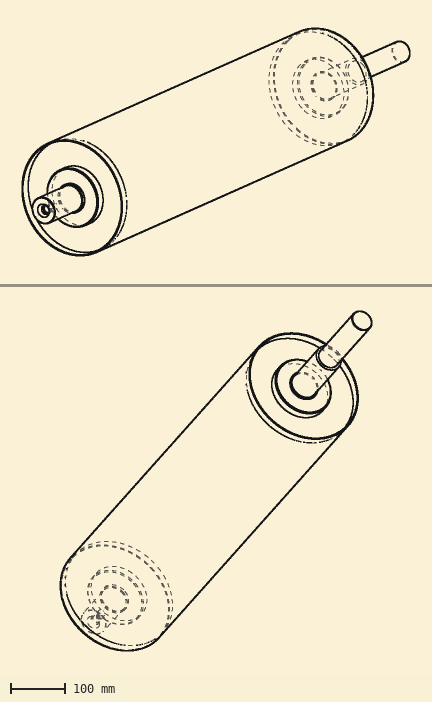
import cadquery as cq
import math

shell_diameter = 219
shell_bore = 215
shell_length = 850
end_plate_recess = 18

hub_diameter = 112
hub_height = 18
hub_chamfer = 2

collar_diameter = 55
collar_front_projection = 6
collar_rear_projection = 3
journal_diameter = 50
drive_diameter = 40
drive_length = 150
shaft_end_chamfer = 1
front_projection = 97
overall_length = 1210

centre_mouth_diameter = 25
centre_cone_angle = 60
thread_clearance_diameter = 17
thread_clearance_depth = 13
thread_core_diameter = 13.84
thread_core_depth = 36
drill_tip_angle = 120

shell_front = -shell_length / 2
shell_rear = shell_length / 2
shaft_front = shell_front - front_projection
shaft_rear = shaft_front + overall_length
drive_start = shaft_rear - drive_length
plate_front = shell_front + end_plate_recess
plate_rear = shell_rear - end_plate_recess


def cylinder(diameter, start, end):
    """Solid cylinder on the Y axis between two Y stations."""
    base = cq.Workplane("XZ", origin=(0, start, 0))
    return base.circle(diameter / 2).extrude(start - end)


def make_shell():
    """Drum with a shallow recess at each end and a hub standing on each end plate."""
    drum = cylinder(shell_diameter, shell_front, shell_rear)
    drum = drum.cut(cylinder(shell_bore, shell_front, plate_front))
    drum = drum.cut(cylinder(shell_bore, plate_rear, shell_rear))
    hubs = cylinder(hub_diameter, plate_front - hub_height, plate_rear + hub_height)
    return drum.union(hubs.faces("<Y or >Y").chamfer(hub_chamfer))


def make_shaft():
    """Stepped shaft running through the drum."""
    collar = cylinder(
        collar_diameter,
        shell_front - collar_front_projection,
        shell_rear + collar_rear_projection,
    )
    journals = cylinder(journal_diameter, shaft_front, drive_start)
    journals = journals.faces("<Y").chamfer(shaft_end_chamfer)
    drive_end = cylinder(drive_diameter, drive_start, shaft_rear)
    drive_end = drive_end.faces(">Y").chamfer(shaft_end_chamfer)
    return collar.union(journals).union(drive_end)


def make_centre_hole():
    """Blind stepped hole in the front end of the shaft, with a conical mouth and a drilled tip."""
    mouth_radius = centre_mouth_diameter / 2
    clearance_radius = thread_clearance_diameter / 2
    core_radius = thread_core_diameter / 2
    mouth_depth = (mouth_radius - clearance_radius) / math.tan(math.radians(centre_cone_angle / 2))
    tip_depth = core_radius / math.tan(math.radians(drill_tip_angle / 2))
    clearance_end = shaft_front + thread_clearance_depth
    core_end = shaft_front + thread_core_depth
    return (
        cq.Workplane("XY")
        .moveTo(0, shaft_front)
        .lineTo(mouth_radius, shaft_front)
        .lineTo(clearance_radius, shaft_front + mouth_depth)
        .lineTo(clearance_radius, clearance_end)
        .lineTo(core_radius, clearance_end)
        .lineTo(core_radius, core_end)
        .lineTo(0, core_end + tip_depth)
        .close()
        .revolve(360, (0, 0, 0), (0, 1, 0))
    )


result = make_shell().union(make_shaft()).cut(make_centre_hole())